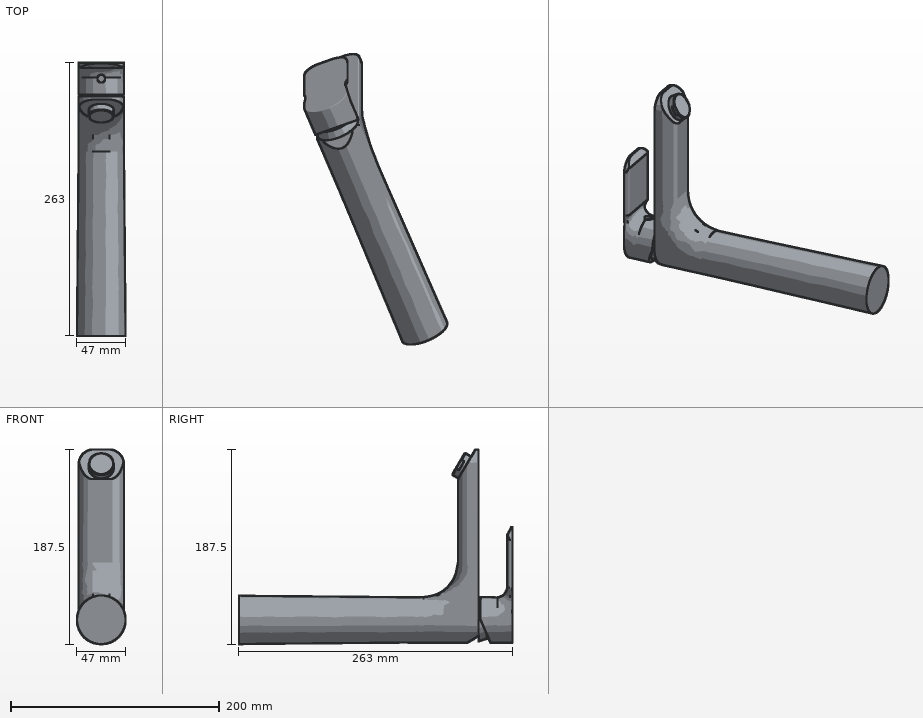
import cadquery as cq
import math


front_radius = 23.5
body_radius = 22.0
taper_length = 170.0
body_back = 230.3

spout_top = 164.0
spout_depth = 19.9
spout_corner = 14.0
spout_top_rounding = 15.0
outlet_slope = 59.5
outlet_low_edge = 135.2
spout_back_rounding = 1.5
spout_bend_radius = 33.0

aerator_radius = 12.2
aerator_chamfer = 0.7
aerator_length = 7.0
aerator_height = 146.5
aerator_flats = 22.4
aerator_flat_depth = 3.5

neck_radius = 20.8
neck_end_radius = 18.3
neck_length = 8.0

handle_front = 232.2
handle_back = 263.0
handle_relief = 9.5
lever_thickness = 5.2
lever_top = 89.3
lever_corner = 3.8
lever_top_rounding = 15.0
lever_bevel_height = 8.0
lever_tip_thickness = 1.2
lever_back_rounding = 0.6
lever_bend_radius = 9.3
screw_hole_diameter = 7.6
screw_hole_depth = 3.0
screw_hole_y = 247.5

bend_steps = 2
bend_overreach = 2.5

width = 2 * body_radius
spout_front = body_back - spout_depth
lever_front = handle_back - lever_thickness


def barrel(start, end, start_radius, end_radius):
    """Round bar along +Y whose radius changes evenly from start to end."""
    profile = [(0, start), (start_radius, start), (end_radius, end), (0, end)]
    return cq.Workplane("XY").polyline(profile).close().revolve(360, (0, 0, 0), (0, 1, 0))


def upright(front, back, bottom, top, corner):
    """Upright column with rounded front edges."""
    return (
        cq.Workplane("XY", origin=(0, (front + back) / 2, bottom))
        .rect(width, back - front)
        .extrude(top - bottom)
        .edges("|Z and <Y")
        .fillet(corner)
    )


def silhouette(front, back, top, top_rounding, back_rounding):
    """Prism along Y, round below and with rounded upper corners, its back rim rounded."""
    return (
        cq.Workplane("XZ", origin=(0, back, 0))
        .moveTo(-body_radius, 0)
        .threePointArc((0, -body_radius), (body_radius, 0))
        .lineTo(body_radius, top)
        .lineTo(-body_radius, top)
        .close()
        .extrude(back - front)
        .edges("|Y and >Z")
        .fillet(top_rounding)
        .faces(">Y")
        .edges()
        .fillet(back_rounding)
    )


def bend_section(center_y, center_z, angle, radius, corner):
    """Wire in the plane through the bend axis, at the given angle below +Y.

    Its inner side goes from flat with rounded corners at the upright to a half circle at the barrel.
    The wire runs outward past the part, which is trimmed to its silhouette afterwards.
    """
    blend = math.sin(angle)
    radial = cq.Vector(0, math.cos(angle), -math.sin(angle))
    across = cq.Vector(1, 0, 0)
    plane = cq.Plane((0, center_y, center_z), across, across.cross(radial))

    seam_x = body_radius - corner
    middle_x = seam_x + corner * math.sqrt(0.5)
    outer = radius + bend_overreach * body_radius

    def inner_height(x, corner_height):
        circle_height = body_radius - math.sqrt(body_radius**2 - x**2)
        return radius + corner_height + blend * (circle_height - corner_height)

    crown_x = seam_x / 2
    crown_height = inner_height(crown_x, 0)
    seam_height = inner_height(seam_x, 0)
    middle_height = inner_height(middle_x, corner * (1 - math.sqrt(0.5)))
    side_height = inner_height(body_radius, corner)
    crown = [(-crown_x, crown_height), (0, radius), (crown_x, crown_height), (seam_x, seam_height)]
    return (
        cq.Workplane(plane)
        .moveTo(-seam_x, seam_height)
        .spline(crown, includeCurrent=True)
        .threePointArc((middle_x, middle_height), (body_radius, side_height))
        .lineTo(body_radius, outer)
        .lineTo(-body_radius, outer)
        .lineTo(-body_radius, side_height)
        .threePointArc((-middle_x, middle_height), (-seam_x, seam_height))
        .close()
        .wires()
        .val()
    )


def bend(front, radius, corner):
    """Elbow from an upright down to the barrel, flat-sided beyond its rounded inner corner."""
    center_y = front - radius
    center_z = body_radius + radius
    sections = []
    for step in range(bend_steps + 1):
        angle = step / bend_steps * math.pi / 2
        sections.append(bend_section(center_y, center_z, angle, radius, corner))
    return cq.Workplane(cq.Solid.makeLoft(sections))


def make_spout():
    bend_top = body_radius + spout_bend_radius
    spout = upright(spout_front, body_back, bend_top, spout_top, spout_corner)
    run = 2 * spout_depth
    rise = run * math.tan(math.radians(outlet_slope))
    outlet_cut = (
        cq.Workplane("YZ", origin=(-body_radius, 0, 0))
        .moveTo(spout_front, outlet_low_edge)
        .lineTo(spout_front + run, outlet_low_edge + rise)
        .lineTo(spout_front - run, outlet_low_edge + rise)
        .lineTo(spout_front - run, outlet_low_edge)
        .close()
        .extrude(width)
    )
    return spout.cut(outlet_cut)


def make_aerator():
    slope = math.radians(outlet_slope)
    base_y = spout_front + (aerator_height - outlet_low_edge) / math.tan(slope)
    outward = cq.Vector(0, -math.sin(slope), math.cos(slope))
    base = cq.Plane((0, base_y, aerator_height), cq.Vector(1, 0, 0), outward)
    aerator = cq.Workplane(base).circle(aerator_radius).extrude(aerator_length)
    aerator = aerator.faces(cq.selectors.DirectionMinMaxSelector(outward)).chamfer(aerator_chamfer)
    ring = (
        cq.Workplane(base)
        .workplane(offset=aerator_length - aerator_flat_depth)
        .rect(3 * aerator_radius, 3 * aerator_radius)
        .rect(aerator_flats, 3 * aerator_radius - 1)
        .extrude(aerator_flat_depth)
    )
    return aerator.cut(ring)


def make_body():
    bend_start = spout_front - spout_bend_radius
    outline = silhouette(taper_length, body_back, spout_top, spout_top_rounding, spout_back_rounding)
    elbow = bend(spout_front, spout_bend_radius, spout_corner).intersect(outline)
    spout = make_spout().intersect(outline)
    body = barrel(0, taper_length, front_radius, body_radius)
    body = body.union(barrel(taper_length, bend_start, body_radius, body_radius))
    return body.union(elbow.union(spout)).union(make_aerator())


def make_handle():
    bend_top = body_radius + lever_bend_radius
    lever = upright(lever_front, handle_back, bend_top, lever_top, lever_corner)
    bevel = (
        cq.Workplane("YZ", origin=(-body_radius, 0, 0))
        .moveTo(lever_front, lever_top - lever_bevel_height)
        .lineTo(handle_back - lever_tip_thickness, lever_top)
        .lineTo(lever_front, lever_top)
        .close()
        .extrude(width)
    )
    outline = silhouette(handle_front, handle_back, lever_top, lever_top_rounding, lever_back_rounding)
    lever = lever.cut(bevel).intersect(outline)
    elbow = bend(lever_front, lever_bend_radius, lever_corner).intersect(outline)
    bend_start = lever_front - lever_bend_radius
    handle = barrel(handle_front, bend_start, body_radius, body_radius).union(elbow.union(lever))

    relief = (
        cq.Workplane("YZ", origin=(-body_radius, 0, 0))
        .moveTo(handle_front, 0)
        .lineTo(handle_front + handle_relief, -body_radius)
        .lineTo(handle_front, -body_radius)
        .close()
        .extrude(width)
    )
    screw_hole = (
        cq.Workplane("XY", origin=(0, screw_hole_y, body_radius - screw_hole_depth))
        .circle(screw_hole_diameter / 2)
        .extrude(2 * screw_hole_depth)
    )
    return handle.cut(relief).cut(screw_hole)


neck = barrel(body_back, body_back + neck_length, neck_radius, neck_end_radius)
result = make_body().union(neck).union(make_handle())